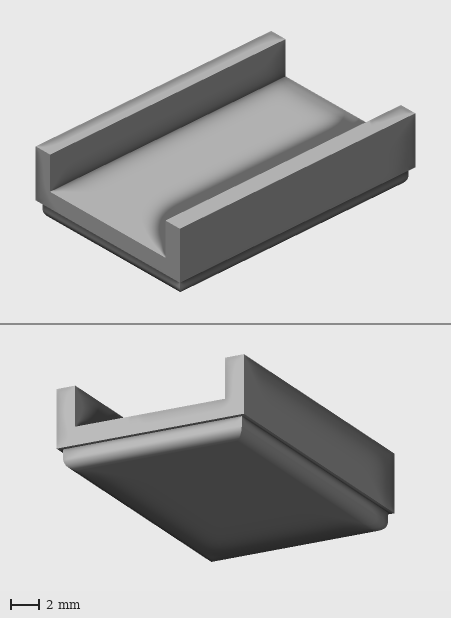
import cadquery as cq

body_width = 15.0
body_length = 22.7
body_height = 4.5
wall_thickness = 1.5
channel_depth = 3.1

pad_height = 1.5
pad_inset = 0.35
pad_fillet = pad_height / 2


def make_body():
    """U-shaped channel, open at both Y ends, resting on Z = 0."""
    block = cq.Workplane("XY").box(body_width, body_length, body_height, centered=(True, True, False))
    channel_width = body_width - 2 * wall_thickness
    channel = (
        cq.Workplane("XY")
        .workplane(offset=body_height - channel_depth)
        .rect(channel_width, body_length)
        .extrude(channel_depth)
    )
    return block.cut(channel)


def make_pad():
    """Rectangular pad below the body with a rounded bottom rim."""
    pad_width = body_width - 2 * pad_inset
    pad_length = body_length - 2 * pad_inset
    pad = cq.Workplane("XY").rect(pad_width, pad_length).extrude(-pad_height)
    return pad.faces("<Z").edges().fillet(pad_fillet)


result = make_body().union(make_pad())